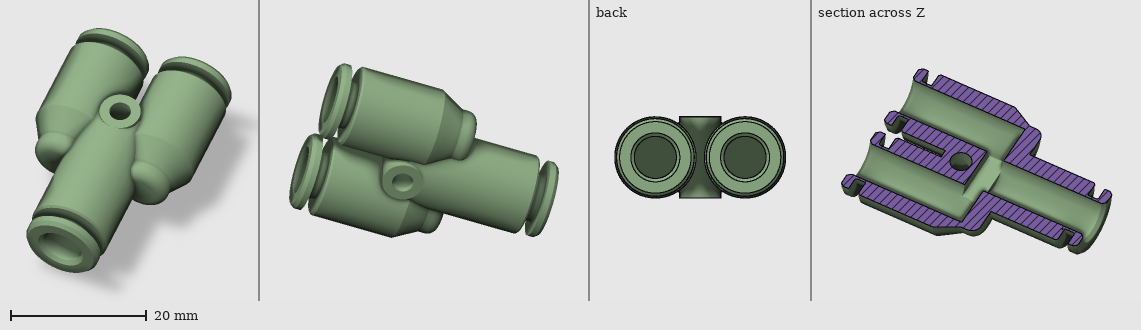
import cadquery as cq
import math

overall_length = 36.1
overall_width = 25.2
body_radius = 6.0
branch_offset = overall_width / 2 - body_radius
branch_port_y = 13.6
stem_port_y = branch_port_y - overall_length

collar_radius = 5.75
collar_thickness = 1.48
collar_chamfer_radial = 0.47
collar_chamfer_axial = 0.58
neck_radius = 3.57
neck_fillet = 0.32
body_setback = 3.1
body_chamfer = 0.3

bore_radius = 3.1
mouth_radius = 3.6
mouth_depth = 0.58
channel_half_height = 2.0
channel_near_y = -5.4
channel_far_y = -2.53

taper_start_y = -2.2
taper_end_y = -5.75
cap_radius = 4.0
cap_end_y = -8.3
cap_fillet = 1.5

boss_radius = 3.05
hole_radius = 1.6

arc_midpoint_inset = 1 - math.sqrt(0.5)


def collar_and_body_start():
    """Profile points and arc shared by all ports: x is the radius, y the depth behind the port face."""
    arc_inset = neck_fillet * arc_midpoint_inset
    return (
        cq.Workplane("XY")
        .lineTo(collar_radius - collar_chamfer_radial, 0)
        .lineTo(collar_radius, collar_chamfer_axial)
        .lineTo(collar_radius, collar_thickness)
        .lineTo(neck_radius + neck_fillet, collar_thickness)
        .threePointArc(
            (neck_radius + arc_inset, collar_thickness + arc_inset),
            (neck_radius, collar_thickness + neck_fillet),
        )
        .lineTo(neck_radius, body_setback)
        .lineTo(body_radius - body_chamfer, body_setback)
        .lineTo(body_radius, body_setback + body_chamfer)
    )


def revolve_about_axis(profile):
    """Close the half profile along the port axis and revolve it about that axis."""
    return profile.close().revolve(360, (0, 0, 0), (0, 1, 0))


def stem():
    depth = -stem_port_y
    profile = collar_and_body_start().lineTo(body_radius, depth).lineTo(0, depth)
    return revolve_about_axis(profile).translate((0, stem_port_y, 0))


def branch():
    cap_depth = branch_port_y - cap_end_y
    arc_inset = cap_fillet * arc_midpoint_inset
    profile = (
        collar_and_body_start()
        .lineTo(body_radius, branch_port_y - taper_start_y)
        .lineTo(cap_radius, branch_port_y - taper_end_y)
        .lineTo(cap_radius, cap_depth - cap_fillet)
        .threePointArc(
            (cap_radius - arc_inset, cap_depth - arc_inset),
            (cap_radius - cap_fillet, cap_depth),
        )
        .lineTo(0, cap_depth)
    )
    return face_plus_y(revolve_about_axis(profile))


def tube_bore(depth):
    profile = (
        cq.Workplane("XY")
        .lineTo(mouth_radius, 0)
        .lineTo(bore_radius, mouth_depth)
        .lineTo(bore_radius, depth)
        .lineTo(0, depth)
    )
    return revolve_about_axis(profile)


def face_plus_y(port_shape):
    """Turn a shape built behind a -Y port face so that it sits behind a branch port face."""
    return port_shape.rotate((0, 0, 0), (0, 0, 1), 180).translate((0, branch_port_y, 0))


def z_cylinder(radius):
    return cq.Workplane("XY").circle(radius).extrude(body_radius, both=True)


def cross_channel():
    """Rectangular passage running from one branch axis to the other."""
    length_x = 2 * branch_offset
    length_y = channel_far_y - channel_near_y
    height = 2 * channel_half_height
    middle_y = (channel_far_y + channel_near_y) / 2
    return cq.Workplane("XY").box(length_x, length_y, height).translate((0, middle_y, 0))


def on_both_branch_axes(shape):
    left = shape.translate((-branch_offset, 0, 0))
    right = shape.translate((branch_offset, 0, 0))
    return left.union(right)


result = stem().union(z_cylinder(boss_radius)).union(on_both_branch_axes(branch()))

stem_bore = tube_bore(channel_near_y - stem_port_y).translate((0, stem_port_y, 0))
branch_bore = face_plus_y(tube_bore(branch_port_y - channel_near_y))
result = result.cut(stem_bore).cut(on_both_branch_axes(branch_bore)).cut(cross_channel())

result = result.cut(z_cylinder(hole_radius))